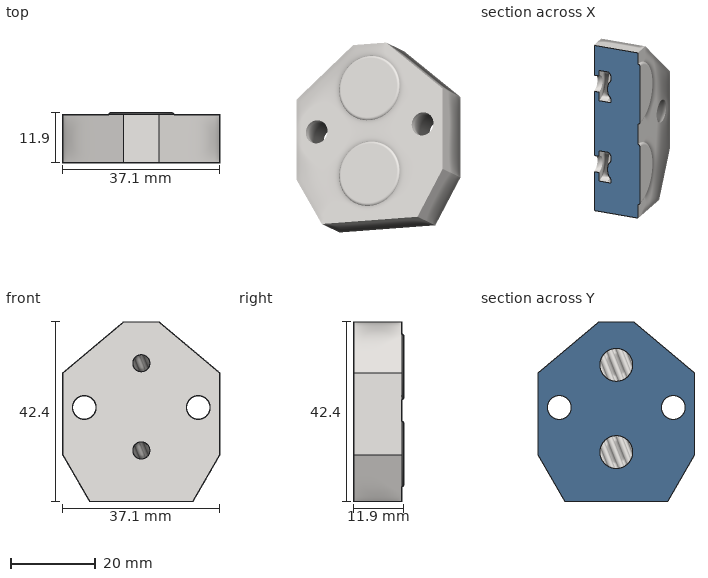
import cadquery as cq
import math

HEIGHT = 42.4
WIDTH = 37.08
THICKNESS = 11.4
TOP_FLAT = 8.35
BOTTOM_FLAT = 24.3
TOP_SLOPE = 40.0
BOTTOM_SLOPE = 60.0

SIDE_HOLE_DIAMETER = 5.5
SIDE_HOLE_SPACING = 26.9
SIDE_HOLE_Z = 22.23

LOWER_POCKET_Z = 12.1
POCKET_SPACING = 20.57
UPPER_POCKET_Z = LOWER_POCKET_Z + POCKET_SPACING
MOUTH_DIAMETER = 4.05
MOUTH_DEPTH = 1.3
BORE_DIAMETER = 7.65
BORE_DROP = 0.4

CREST_DEPTH = 3.4
CREST_RADIUS = 0.68
VALLEY_RADIUS = 0.42
FLANK_ANGLE = 79.0
RIDGE_TILT = 21.5
CREST_OFFSET = -0.35
RIDGES_EACH_SIDE = 2

PAD_DIAMETER = 15.53
PAD_HEIGHT = 11.88 - THICKNESS
PAD_EDGE_RADIUS = 0.65
PAD_DROP = 0.85


def cylinder_along_y(x, z, diameter, start, end):
    """Solid cylinder between the depths start and end."""
    circle = cq.Workplane("XZ", origin=(x, start, z)).circle(diameter / 2)
    return circle.extrude(start - end)


def make_block():
    top_drop = (WIDTH - TOP_FLAT) / 2 * math.tan(math.radians(TOP_SLOPE))
    bottom_rise = (WIDTH - BOTTOM_FLAT) / 2 * math.tan(math.radians(BOTTOM_SLOPE))
    right_side = [
        (BOTTOM_FLAT / 2, 0),
        (WIDTH / 2, bottom_rise),
        (WIDTH / 2, HEIGHT - top_drop),
        (TOP_FLAT / 2, HEIGHT),
    ]
    left_side = [(-x, z) for x, z in reversed(right_side)]
    outline = cq.Workplane("XZ").polyline(right_side + left_side).close()
    return outline.extrude(-THICKNESS)


def make_pad(z):
    pad = cylinder_along_y(0, z, PAD_DIAMETER, THICKNESS / 2, THICKNESS + PAD_HEIGHT)
    return pad.faces(">Y").edges().fillet(PAD_EDGE_RADIUS)


def make_space_above_ridges(z):
    """Space in front of the ridged floor, ridges tilted about the pocket axis."""
    flank = math.radians(FLANK_ANGLE)
    crest_half = CREST_RADIUS * math.sin(flank)
    valley_half = VALLEY_RADIUS * math.sin(flank)
    pitch = 2 * (crest_half + valley_half)
    flank_depth = CREST_DEPTH + CREST_RADIUS * (1 - math.cos(flank))
    valley_depth = flank_depth + VALLEY_RADIUS * (1 - math.cos(flank))

    first_crest = CREST_OFFSET - RIDGES_EACH_SIDE * pitch
    start = first_crest - crest_half
    section = cq.Workplane("XY").moveTo(start, MOUTH_DEPTH).lineTo(start, flank_depth)
    for i in range(2 * RIDGES_EACH_SIDE + 1):
        crest = first_crest + i * pitch
        crest_end = crest + crest_half
        section = section.threePointArc((crest, CREST_DEPTH), (crest_end, flank_depth))
        valley = crest_end + valley_half
        section = section.threePointArc((valley, valley_depth), (valley + valley_half, flank_depth))
    section = section.lineTo(valley + valley_half, MOUTH_DEPTH).close()

    space = section.extrude(BORE_DIAMETER, both=True)
    return space.rotate((0, 0, 0), (0, 1, 0), -RIDGE_TILT).translate((0, 0, z))


def make_pocket(z):
    mouth = cylinder_along_y(0, z, MOUTH_DIAMETER, 0, MOUTH_DEPTH)
    bore = cylinder_along_y(0, z - BORE_DROP, BORE_DIAMETER, MOUTH_DEPTH, THICKNESS / 2)
    return mouth.union(bore.intersect(make_space_above_ridges(z)))


result = make_block()
for pocket_z in (UPPER_POCKET_Z, LOWER_POCKET_Z):
    result = result.union(make_pad(pocket_z - PAD_DROP))
    result = result.cut(make_pocket(pocket_z))
for side in (-1, 1):
    hole_x = side * SIDE_HOLE_SPACING / 2
    result = result.cut(cylinder_along_y(hole_x, SIDE_HOLE_Z, SIDE_HOLE_DIAMETER, 0, THICKNESS))